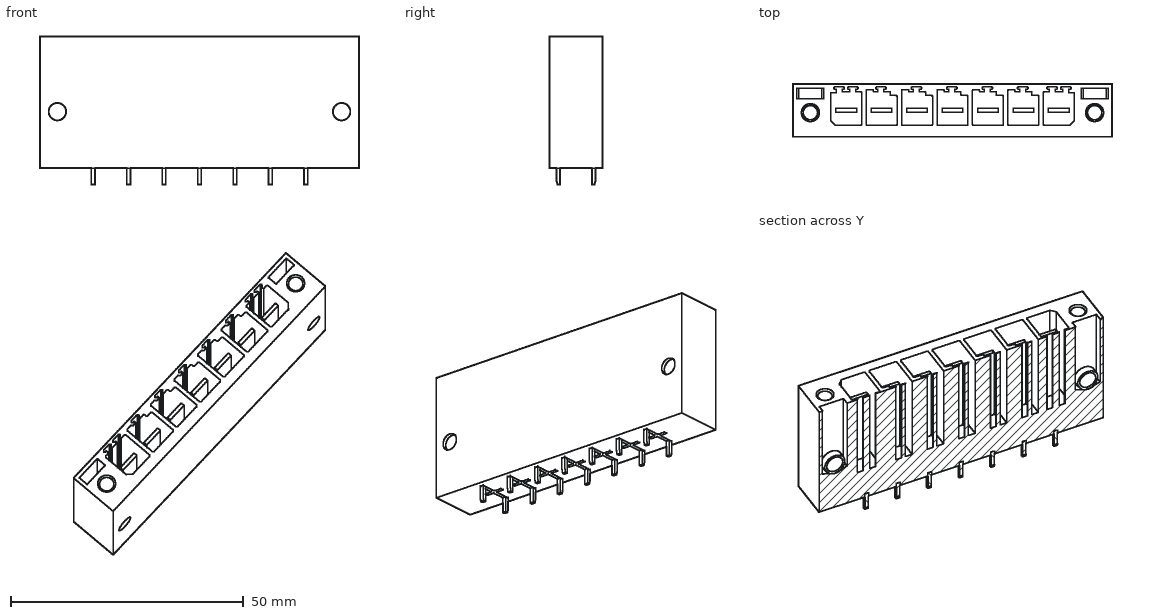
import cadquery as cq
LENGTH = 68.6
DEPTH = 11.4
HEIGHT = 28.3
TOTAL_HEIGHT = 31.8

CONTACT_COUNT = 7
PITCH = 7.6
STOCK = 0.8
BLADE_WIDTH = 4.45
BLADE_Y = 0.1
BLADE_RECESS = 3.1
PIN_SPACING = PITCH
PIN_LENGTH = TOTAL_HEIGHT - HEIGHT
TIP_HEIGHT = 0.8
TIP_INSET = 0.2

CAVITY_WIDTH = 6.65
CAVITY_FRONT = -3.2
CAVITY_BACK = 4.05
CAVITY_DEPTH = 20.6
CORNER_RADIUS = 0.3
STEP_RADIUS = 0.15
END_BEVEL = 1.0

KEY_TOP = 5.1
KEY_HEAD_HEIGHT = 0.55
KEY_HEAD_WIDTH = 2.25
KEY_NECK_WIDTH = 1.3
KEY_HEAD_BEVEL = 0.2
MIDDLE_KEY_OFFSET = -0.15
END_KEY_OFFSETS = (-1.5, 1.45)

RAISED_STEP_WIDTH = 1.5
RAISED_STEP_BACK = 4.45
LOWERED_STEP_WIDTH = 1.5
LOWERED_STEP_BACK = 3.2
END_STEP_WIDTH = 1.8
END_STEP_BACK = 3.85

MOUNT_X = 30.5
MOUNT_Z = 12.15
MOUNT_BORE = 3.7
BUSHING_DIAMETER = 4.95
BUSHING_FRONT = -2.75
BUSHING_BACK = 4.8

SCREW_Y = -0.5
SCREW_DIAMETER = 3.1
SCREW_MOUTH_DIAMETER = 3.85
WINDOW_WIDTH = 5.8
WINDOW_FRONT = 2.55
WINDOW_BACK = BUSHING_BACK
WINDOW_FLOOR_RISE = 0.9


def box(x_range, y_range, z_range):
    """Box between two limits on each axis."""
    (x0, x1), (y0, y1), (z0, z1) = x_range, y_range, z_range
    return cq.Workplane("XY").box(x1 - x0, y1 - y0, z1 - z0, centered=False).translate((x0, y0, z0))


def mount_cylinder(diameter, x, front, back):
    """Cylinder along Y on the axis of a mounting hole."""
    plane = cq.Plane(origin=(x, front, MOUNT_Z), xDir=(-1, 0, 0), normal=(0, 1, 0))
    return cq.Workplane(plane).circle(diameter / 2).extrude(back - front)


def make_bushing_blank(x):
    """Outside shape of a bushing, which is also the shape of its seat."""
    return mount_cylinder(BUSHING_DIAMETER, x, BUSHING_FRONT, BUSHING_BACK)


def make_mount_bore(x):
    """Mounting hole through the whole depth."""
    return mount_cylinder(MOUNT_BORE, x, -DEPTH / 2, DEPTH / 2)


def make_contact(x):
    """Blade, bridge flush with the housing bottom, and two solder pins."""
    blade_tip = HEIGHT - BLADE_RECESS
    inner = (PIN_SPACING - STOCK) / 2
    outer = inner + STOCK
    bridge_and_pins = (
        cq.Workplane("YZ", origin=(x, 0, 0))
        .moveTo(-outer, STOCK)
        .lineTo(-outer, TIP_HEIGHT - PIN_LENGTH)
        .lineTo(-outer + TIP_INSET, -PIN_LENGTH)
        .lineTo(-inner, -PIN_LENGTH)
        .lineTo(-inner, 0)
        .lineTo(inner, 0)
        .lineTo(inner, -PIN_LENGTH)
        .lineTo(outer - TIP_INSET, -PIN_LENGTH)
        .lineTo(outer, TIP_HEIGHT - PIN_LENGTH)
        .lineTo(outer, STOCK)
        .close()
        .extrude(STOCK / 2, both=True)
    )
    blade = box(
        (x - BLADE_WIDTH / 2, x + BLADE_WIDTH / 2),
        (BLADE_Y - STOCK / 2, BLADE_Y + STOCK / 2),
        (0, blade_tip),
    )
    return bridge_and_pins.union(blade)


def make_bushing(x):
    """Plain round bushing along Y."""
    return make_bushing_blank(x).cut(make_mount_bore(x))


def make_key(offset):
    """T-shaped slot outline, extruded over the cavity depth."""
    z_range = (HEIGHT - CAVITY_DEPTH, HEIGHT)
    shoulder = KEY_TOP - KEY_HEAD_HEIGHT
    head = box((offset - KEY_HEAD_WIDTH / 2, offset + KEY_HEAD_WIDTH / 2), (shoulder, KEY_TOP), z_range)
    head = head.edges("|Z").chamfer(KEY_HEAD_BEVEL)
    neck = box((offset - KEY_NECK_WIDTH / 2, offset + KEY_NECK_WIDTH / 2), (0, shoulder), z_range)
    return head.union(neck)


def make_inner_cavity():
    """Cavity with one key slot, a raised left step and a lowered right step."""
    half = CAVITY_WIDTH / 2
    cavity = (
        cq.Workplane("XY", origin=(0, 0, HEIGHT - CAVITY_DEPTH))
        .moveTo(-half, CAVITY_FRONT)
        .lineTo(half, CAVITY_FRONT)
        .lineTo(half, LOWERED_STEP_BACK)
        .lineTo(half - LOWERED_STEP_WIDTH, LOWERED_STEP_BACK)
        .lineTo(half - LOWERED_STEP_WIDTH, CAVITY_BACK)
        .lineTo(-half + RAISED_STEP_WIDTH, CAVITY_BACK)
        .lineTo(-half + RAISED_STEP_WIDTH, RAISED_STEP_BACK)
        .lineTo(-half, RAISED_STEP_BACK)
        .close()
        .extrude(CAVITY_DEPTH)
    )
    between_walls = half - CORNER_RADIUS
    steps = cq.selectors.BoxSelector((-between_walls, 0, 0), (between_walls, DEPTH, HEIGHT))
    cavity = cavity.edges("|Z").edges(steps).fillet(STEP_RADIUS)
    cavity = cavity.edges("|Z").edges("<X or >X").fillet(CORNER_RADIUS)
    return cavity.union(make_key(MIDDLE_KEY_OFFSET))


def make_first_cavity():
    """Cavity with two key slots, a beveled front corner and a shallow step on the outer side."""
    half = CAVITY_WIDTH / 2
    cavity = (
        cq.Workplane("XY", origin=(0, 0, HEIGHT - CAVITY_DEPTH))
        .moveTo(-half + END_BEVEL, CAVITY_FRONT)
        .lineTo(half, CAVITY_FRONT)
        .lineTo(half, CAVITY_BACK)
        .lineTo(-half + END_STEP_WIDTH, CAVITY_BACK)
        .lineTo(-half + END_STEP_WIDTH, END_STEP_BACK)
        .lineTo(-half, END_STEP_BACK)
        .lineTo(-half, CAVITY_FRONT + END_BEVEL)
        .close()
        .extrude(CAVITY_DEPTH)
    )
    cavity = cavity.edges("|Z").edges(">X").fillet(CORNER_RADIUS)
    cavity = cavity.edges("|Z").edges("<X").edges(">Y").fillet(CORNER_RADIUS)
    for offset in END_KEY_OFFSETS:
        cavity = cavity.union(make_key(offset))
    return cavity


def cut_end_openings(housing, x):
    """Mounting hole, bushing seat, screw hole and window at one end."""
    housing = housing.cut(make_mount_bore(x)).cut(make_bushing_blank(x))
    screw_hole = (
        cq.Workplane("XY", origin=(x, SCREW_Y, MOUNT_Z))
        .circle(SCREW_DIAMETER / 2)
        .extrude(HEIGHT - MOUNT_Z)
    )
    mouth = (SCREW_MOUTH_DIAMETER - SCREW_DIAMETER) / 2
    countersink = cq.Workplane(cq.Solid.makeCone(
        SCREW_DIAMETER / 2, SCREW_MOUTH_DIAMETER / 2, mouth, cq.Vector(x, SCREW_Y, HEIGHT - mouth)
    ))
    floor = MOUNT_Z - BUSHING_DIAMETER / 2
    window = (
        cq.Workplane("XZ", origin=(x, WINDOW_BACK, 0))
        .moveTo(0, floor)
        .lineTo(WINDOW_WIDTH / 2, floor + WINDOW_FLOOR_RISE)
        .lineTo(WINDOW_WIDTH / 2, HEIGHT)
        .lineTo(-WINDOW_WIDTH / 2, HEIGHT)
        .lineTo(-WINDOW_WIDTH / 2, floor + WINDOW_FLOOR_RISE)
        .close()
        .extrude(WINDOW_BACK - WINDOW_FRONT)
    )
    return housing.cut(screw_hole).cut(countersink).cut(window)


contact_xs = [(i - (CONTACT_COUNT - 1) / 2) * PITCH for i in range(CONTACT_COUNT)]
mount_xs = (-MOUNT_X, MOUNT_X)

contacts = [make_contact(x) for x in contact_xs]
bushings = [make_bushing(x) for x in mount_xs]

housing = cq.Workplane("XY").box(LENGTH, DEPTH, HEIGHT, centered=(True, True, False))
first_cavity = make_first_cavity()
inner_cavity = make_inner_cavity()
housing = housing.cut(first_cavity.translate((contact_xs[0], 0, 0)))
for x in contact_xs[1:-1]:
    housing = housing.cut(inner_cavity.translate((x, 0, 0)))
housing = housing.cut(first_cavity.mirror("YZ").translate((contact_xs[-1], 0, 0)))
for x in mount_xs:
    housing = cut_end_openings(housing, x)
for contact in contacts:
    housing = housing.cut(contact)

result = cq.Compound.makeCompound(
    [housing.val()] + [contact.val() for contact in contacts] + [bushing.val() for bushing in bushings]
)